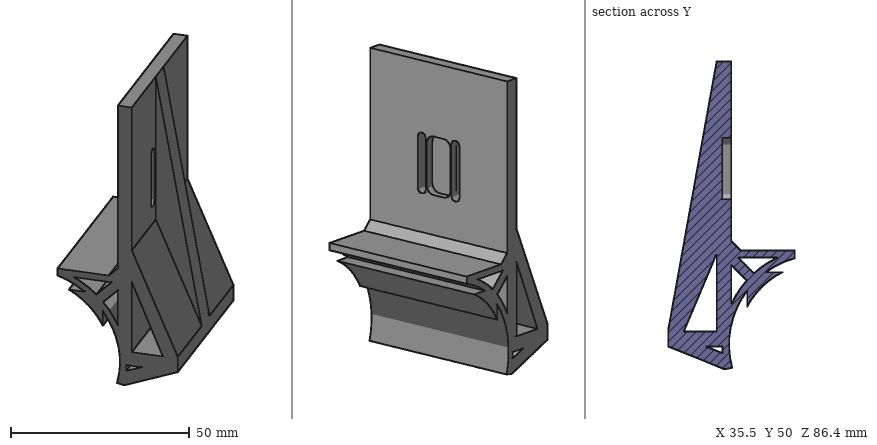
import cadquery as cq
import math

width = 50.0
height = 86.4
depth = 35.5

plate_front = 17.8
plate_thickness = 4.15
plate_back = plate_front + plate_thickness

shelf_top = 33.35
shelf_chamfer = 2.7

cradle_radius = 25.1
cradle_x = -6.65
cradle_z = 7.0
lip_depth = 2.4
lip_radius = cradle_radius - lip_depth
skin = 1.9
window_radius = cradle_radius + skin
foot_z = 0.4
toe_x = 19.7

barb_top = 27.3
barb_right = 13.4

heel_bottom = 6.4
heel_top = 11.15
brace_top = 42.2
gusset_width = 7.0

shelf_window_top = 31.4
strut_upper_offset = 15.5
strut_lower_offset = 11.4
rear_window_top = 32.3
rear_window_bottom = 10.6
rear_window_corner = 31.1
toe_window_left = 20.3
toe_window_right = 24.9
toe_window_bottom = 4.6

slot_width = 3.0
slot_height = 17.8
slot_spacing = 12.3
slot_z = 56.3
pocket_width = 8.6
pocket_height = 17.2
pocket_corner = 2.5
pocket_depth = 2.5


def x_on_circle(radius, z):
    return cradle_x + math.sqrt(radius**2 - (z - cradle_z) ** 2)


def z_on_circle(radius, x):
    return cradle_z + math.sqrt(radius**2 - (x - cradle_x) ** 2)


def arc_to(sketch, radius, start, end):
    """Continue a sketch along a circle about the cradle centre."""
    angles = [math.atan2(z - cradle_z, x - cradle_x) for x, z in (start, end)]
    middle = sum(angles) / 2
    via = (cradle_x + radius * math.cos(middle), cradle_z + radius * math.sin(middle))
    return sketch.threePointArc(via, end)


def centred_extrude(sketch, length):
    return sketch.extrude(length / 2, both=True)


def profile_body():
    shelf_tip = (0, z_on_circle(cradle_radius, 0))
    upper_notch = (x_on_circle(cradle_radius, barb_top), barb_top)
    upper_barb = (x_on_circle(lip_radius, barb_top), barb_top)
    lower_barb = (barb_right, z_on_circle(lip_radius, barb_right))
    lower_notch = (barb_right, z_on_circle(cradle_radius, barb_right))
    foot = (x_on_circle(cradle_radius, foot_z), foot_z)

    outline = (
        cq.Workplane("XZ")
        .moveTo(plate_front, height)
        .lineTo(plate_front, shelf_top + shelf_chamfer)
        .lineTo(plate_front - shelf_chamfer, shelf_top)
        .lineTo(0, shelf_top)
        .lineTo(*shelf_tip)
    )
    outline = arc_to(outline, cradle_radius, shelf_tip, upper_notch).lineTo(*upper_barb)
    outline = arc_to(outline, lip_radius, upper_barb, lower_barb).lineTo(*lower_notch)
    outline = arc_to(outline, cradle_radius, lower_notch, foot)
    outline = (
        outline.lineTo(toe_x, 0)
        .lineTo(depth, heel_bottom)
        .lineTo(depth, heel_top)
        .lineTo(plate_back, brace_top)
        .lineTo(plate_back, height)
        .close()
    )
    return centred_extrude(outline, width)


def gusset():
    corners = [(plate_back, height), (depth, heel_top), (plate_back, brace_top)]
    return centred_extrude(cq.Workplane("XZ").polyline(corners).close(), gusset_width)


def strut_corner(offset):
    """Point where a diagonal strut face meets the window circle."""
    gap = (cradle_x + offset - cradle_z) / math.sqrt(2)
    along = math.sqrt(window_radius**2 - gap**2)
    return (cradle_x + (along - gap) / math.sqrt(2), cradle_z + (along + gap) / math.sqrt(2))


def shelf_window():
    left = (x_on_circle(window_radius, shelf_window_top), shelf_window_top)
    bottom = strut_corner(strut_upper_offset)
    sketch = cq.Workplane("XZ").moveTo(*left)
    sketch = arc_to(sketch, window_radius, left, bottom)
    sketch = sketch.lineTo(shelf_window_top - strut_upper_offset, shelf_window_top).close()
    return centred_extrude(sketch, width)


def plate_window():
    left = strut_corner(strut_lower_offset)
    bottom = (plate_front, z_on_circle(window_radius, plate_front))
    sketch = cq.Workplane("XZ").moveTo(*left)
    sketch = arc_to(sketch, window_radius, left, bottom)
    sketch = sketch.lineTo(plate_front, plate_front + strut_lower_offset).close()
    return centred_extrude(sketch, width)


def triangle_window(corners):
    return centred_extrude(cq.Workplane("XZ").polyline(corners).close(), width)


def strap_slots():
    return (
        cq.Workplane("YZ", origin=(plate_front, 0, slot_z))
        .pushPoints([(-slot_spacing / 2, 0), (slot_spacing / 2, 0)])
        .slot2D(slot_height, slot_width, 90)
        .extrude(plate_thickness)
    )


def strap_pocket():
    return (
        cq.Workplane("YZ", origin=(plate_front, 0, slot_z))
        .rect(pocket_width, pocket_height)
        .extrude(pocket_depth)
        .edges("|X")
        .fillet(pocket_corner)
    )


rear_window = triangle_window(
    [
        (plate_back, rear_window_top),
        (rear_window_corner, rear_window_bottom),
        (plate_back, rear_window_bottom),
    ]
)
toe_window = triangle_window(
    [
        (toe_window_left, heel_bottom),
        (toe_window_right, heel_bottom),
        (toe_window_left, toe_window_bottom),
    ]
)

result = profile_body().union(gusset())
for cut in (shelf_window(), plate_window(), rear_window, toe_window, strap_slots(), strap_pocket()):
    result = result.cut(cut)